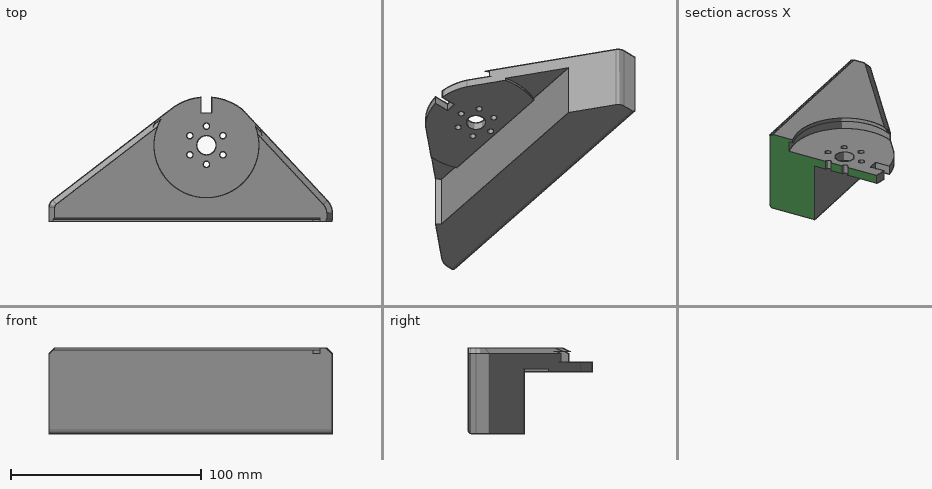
import cadquery as cq
import math

total_height = 45.0
left_x = -82.5
right_x = 66.05
front_y = -40.0

left_corner_height = 9.9
right_corner_height = 8.2
left_side_angle = 37.5
right_side_angle = 46.95
left_corner_radius = 5.0
right_corner_radius = 10.0

rear_arc_left_x = -17.0
rear_arc_top = (-0.5, 25.33)
rear_arc_right_x = 18.7

top_chamfer = 3.0
disc_top_z = 37.5
recess_radius = 27.5
undercut_radius = 29.5
undercut_top_z = 43.0

disc_bottom_z = 32.5
clearance_z = 34.0
pad_radius = 34.3
back_wall_y = front_y + 26.9
bevel_top_y = front_y + 29.5
bevel_angle = 57.0

center_hole_diameter = 10.0
bolt_hole_diameter = 3.2
bolt_circle_radius = 10.0
bolt_count = 6
slot_width = 5.5
slot_bottom_y = 17.0

bottom_fillet = 2.0
corner_bevel_x = 0.4
corner_bevel_y = 1.0
groove_floor_width = 1.0
groove_depth = 1.0
groove_end_x = left_x + 142.05
notch_width = 3.75
notch_depth = 2.0


left_slope = math.tan(math.radians(left_side_angle))
right_slope = math.tan(math.radians(right_side_angle))
left_corner = (left_x, front_y + left_corner_height)
right_corner = (right_x, front_y + right_corner_height)
rear_y = rear_arc_top[1]


def left_side_point(x):
    return x, left_corner[1] + left_slope * (x - left_x)


def right_side_point(x):
    return x, right_corner[1] + right_slope * (right_x - x)


apex_x = (right_corner[1] - left_corner[1] + right_slope * right_x + left_slope * left_x)
apex_x /= left_slope + right_slope
apex = left_side_point(apex_x)


def box(x_min, x_max, y_min, y_max, z_min, z_max):
    size = (x_max - x_min, y_max - y_min, z_max - z_min)
    return cq.Workplane("XY").box(*size, centered=False).translate((x_min, y_min, z_min))


def cylinder(radius, z_min, z_max):
    return cq.Workplane("XY").workplane(offset=z_min).circle(radius).extrude(z_max - z_min)


def make_wedge():
    """Triangular block with rounded end corners, a chamfered top rim and a rounded lower front edge."""
    wedge = (
        cq.Workplane("XY")
        .moveTo(left_x, front_y)
        .lineTo(right_x - corner_bevel_x, front_y)
        .lineTo(right_x, front_y + corner_bevel_y)
        .lineTo(*right_corner)
        .lineTo(*apex)
        .lineTo(*left_corner)
        .close()
        .extrude(total_height)
    )
    for corner, radius in ((left_corner, left_corner_radius), (right_corner, right_corner_radius)):
        nearest = cq.selectors.NearestToPointSelector((*corner, total_height / 2))
        wedge = wedge.edges(nearest).fillet(radius)
    front_top_edge = wedge.faces(">Z").edges("<Y").val()
    rim = wedge.faces(">Z").edges().filter(lambda edge: not edge.isSame(front_top_edge))
    wedge = rim.chamfer(top_chamfer)
    return wedge.faces("<Z").edges("<Y").fillet(bottom_fillet)


def make_rear_tip():
    """Sharp tip of the wedge behind the rear arc, which is cut away."""
    return (
        cq.Workplane("XY")
        .moveTo(*left_side_point(rear_arc_left_x))
        .threePointArc(rear_arc_top, right_side_point(rear_arc_right_x))
        .lineTo(right_x, apex[1])
        .lineTo(left_x, apex[1])
        .close()
        .extrude(total_height)
    )


def make_underside_clearance():
    """Space behind the lower wall, leaving a round pad under the disc."""
    bevel_slope = math.tan(math.radians(bevel_angle))
    bevel_run = (bevel_top_y - back_wall_y) / bevel_slope
    bevel_top_x = right_x - (bevel_top_y - right_corner[1]) / right_slope
    space = (
        cq.Workplane("XY")
        .moveTo(left_x, back_wall_y)
        .lineTo(bevel_top_x - bevel_run, back_wall_y)
        .lineTo(bevel_top_x, bevel_top_y)
        .lineTo(right_x, bevel_top_y + (right_x - bevel_top_x) * bevel_slope)
        .lineTo(right_x, rear_y)
        .lineTo(left_x, rear_y)
        .close()
        .extrude(clearance_z)
    )
    return space.cut(cylinder(pad_radius, disc_bottom_z, total_height))


def make_recess():
    """Round recess whose lower part is undercut, leaving a lip at the top."""
    undercut = cylinder(undercut_radius, disc_top_z, undercut_top_z)
    return cylinder(recess_radius, disc_top_z, total_height).union(undercut)


def make_disc_openings():
    openings = cylinder(center_hole_diameter / 2, 0, total_height)
    bolt_holes = (
        cq.Workplane("XY")
        .polarArray(bolt_circle_radius, 90, 360, bolt_count)
        .circle(bolt_hole_diameter / 2)
        .extrude(total_height)
    )
    slot = box(-slot_width / 2, slot_width / 2, slot_bottom_y, apex[1], 0, total_height)
    return openings.union(bolt_holes).union(slot)


def make_front_groove():
    floor_z = total_height - groove_depth
    groove = (
        cq.Workplane("YZ", origin=(left_x, 0, 0))
        .moveTo(front_y, floor_z)
        .lineTo(front_y + groove_floor_width, floor_z)
        .lineTo(front_y + groove_floor_width + groove_depth, total_height)
        .lineTo(front_y, total_height)
        .close()
        .extrude(groove_end_x - left_x)
    )
    notch = box(
        groove_end_x - notch_width, groove_end_x,
        front_y, front_y + groove_floor_width,
        floor_z - notch_depth, floor_z,
    )
    return groove.union(notch)


result = (
    make_wedge()
    .cut(make_rear_tip())
    .cut(make_recess())
    .cut(make_underside_clearance())
    .cut(make_disc_openings())
    .cut(make_front_groove())
)